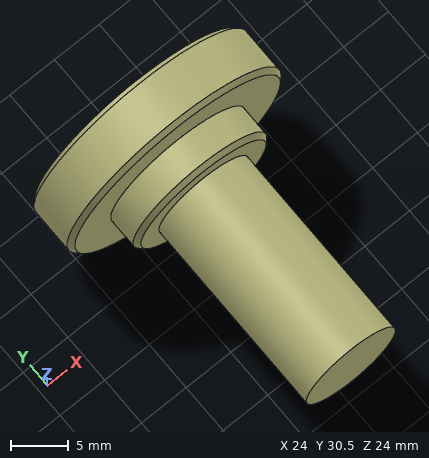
import cadquery as cq

total_length = 30.5
head_diameter = 24.0
hub_diameter = 15.0
shaft_diameter = 10.0
shaft_length = 20.0
hub_length = 3.5
head_length = 5.0
edge_step = 0.5

head_radius = head_diameter / 2
hub_radius = hub_diameter / 2
shaft_radius = shaft_diameter / 2
dome_radius = head_radius - edge_step

shaft_end = -shaft_length
head_bottom = hub_length
head_top = head_bottom + head_length
dome_base = head_top + edge_step
dome_top = shaft_end + total_length

dome_height = dome_top - dome_base
sphere_radius = (dome_radius**2 + dome_height**2) / (2 * dome_height)
mid_radius = dome_radius / 2
mid_height = dome_top - sphere_radius + (sphere_radius**2 - mid_radius**2) ** 0.5

profile = (
    cq.Workplane("XY")
    .moveTo(0, shaft_end)
    .lineTo(shaft_radius, shaft_end)
    .lineTo(shaft_radius, 0)
    .lineTo(hub_radius - edge_step, 0)
    .lineTo(hub_radius, edge_step)
    .lineTo(hub_radius, head_bottom)
    .lineTo(head_radius - edge_step, head_bottom)
    .lineTo(head_radius, head_bottom + edge_step)
    .lineTo(head_radius, head_top)
    .lineTo(dome_radius, head_top)
    .lineTo(dome_radius, dome_base)
    .threePointArc((mid_radius, mid_height), (0, dome_top))
    .close()
)

result = profile.revolve(360, (0, 0, 0), (0, 1, 0))